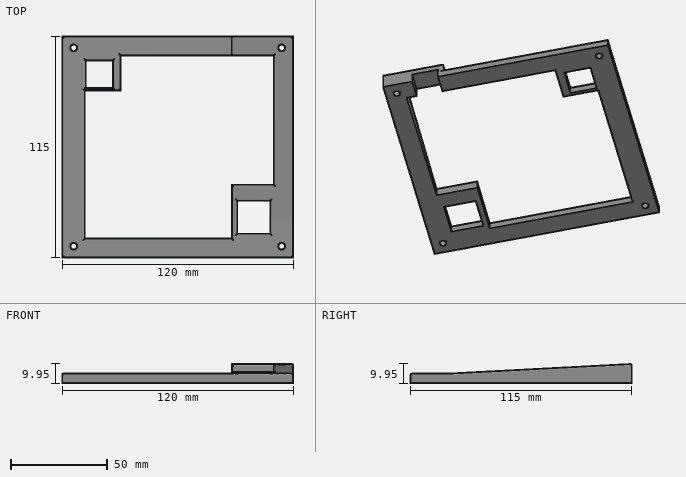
import cadquery as cq

length = 120.0
width = 115.0
plate_height = 5.0
edge_radius = 1.0

ramp_left = 88.1
ramp_start = 20.0
ramp_end_height = 10.0

opening_left = 11.85
opening_right = 109.8
opening_front = 10.0
opening_back = 105.0
back_tab_right = 30.4
back_tab_front = 86.8
front_tab_back = 38.0

back_window_size = 14.0
back_window_corner = (12.3, 88.4)
front_window_size = 17.0
front_window_corner = (91.0, 12.5)

hole_diameter = 3.4
hole_inset = 6.0

slot_left = 90.7
slot_width = 13.8
slot_height = 5.8

cut_height = 2 * ramp_end_height

selection_margin = 0.01


def box(x_range, y_range, z_range):
    """Axis-aligned box between the given limits."""
    x0, x1 = x_range
    y0, y1 = y_range
    z0, z1 = z_range
    return cq.Workplane("XY").box(x1 - x0, y1 - y0, z1 - z0, centered=False).translate((x0, y0, z0))


def region(x_range, y_range, z_range):
    """Selector for the edges centred inside the given limits, with a little slack."""
    lower = [limits[0] - selection_margin for limits in (x_range, y_range, z_range)]
    upper = [limits[1] + selection_margin for limits in (x_range, y_range, z_range)]
    return cq.selectors.BoxSelector(lower, upper)


def slab():
    """Plain plate with the outer size of the frame."""
    return box((0, length), (0, width), (0, plate_height))


def window(corner, size):
    """Square cutting tool for a window."""
    x, y = corner
    return box((x, x + size), (y, y + size), (0, cut_height))


def make_plate():
    """Flat frame with every top edge rounded."""
    opening = (
        cq.Workplane("XY")
        .moveTo(opening_left, opening_front)
        .lineTo(ramp_left, opening_front)
        .lineTo(ramp_left, front_tab_back)
        .lineTo(opening_right, front_tab_back)
        .lineTo(opening_right, opening_back)
        .lineTo(back_tab_right, opening_back)
        .lineTo(back_tab_right, back_tab_front)
        .lineTo(opening_left, back_tab_front)
        .close()
        .extrude(plate_height)
    )
    frame = slab().cut(opening).cut(window(front_window_corner, front_window_size))
    frame = frame.faces(">Z").edges().fillet(edge_radius)

    window_slab = slab().cut(window(back_window_corner, back_window_size))
    x, y = back_window_corner
    back_rim = region(
        (x, x + back_window_size),
        (y, y + back_window_size),
        (plate_height, plate_height),
    )
    window_slab = window_slab.edges(back_rim).fillet(edge_radius)
    return frame.intersect(window_slab)


def make_ramp():
    """Sloped corner piece standing on the plate, with rounded edges."""
    ramp_base = plate_height - edge_radius
    ramp = (
        cq.Workplane("YZ")
        .moveTo(ramp_start, ramp_base)
        .lineTo(width, ramp_base)
        .lineTo(width, ramp_end_height)
        .lineTo(ramp_start, plate_height)
        .close()
        .extrude(length - ramp_left)
        .translate((ramp_left, 0, 0))
    )
    opening = box((ramp_left, opening_right), (front_tab_back, opening_back), (0, cut_height))
    ramp = ramp.cut(opening).cut(window(front_window_corner, front_window_size))

    step = region((ramp_left, ramp_left), (opening_back, width), (0, ramp_end_height))
    start = region((ramp_left, length), (ramp_start, ramp_start), (0, ramp_end_height))
    rim = ramp.faces(">Z").edges().edges(-(step + start))
    step_sides = ramp.edges("|Z").edges(step)
    return ramp.newObject(rim.vals() + step_sides.vals()).fillet(edge_radius)


def cut_screw_holes(body):
    """Drill a through hole near each corner."""
    for x in (hole_inset, length - hole_inset):
        for y in (hole_inset, width - hole_inset):
            drill = cq.Workplane("XY").center(x, y).circle(hole_diameter / 2).extrude(cut_height)
            body = body.cut(drill)
    return body


def cut_cable_slot(body):
    """Cut the slot across the back bar, open at the underside."""
    slot = box((slot_left, slot_left + slot_width), (opening_back, width), (0, slot_height))
    return body.cut(slot)


body = make_plate().union(make_ramp())
body = cut_screw_holes(body)
result = cut_cable_slot(body)